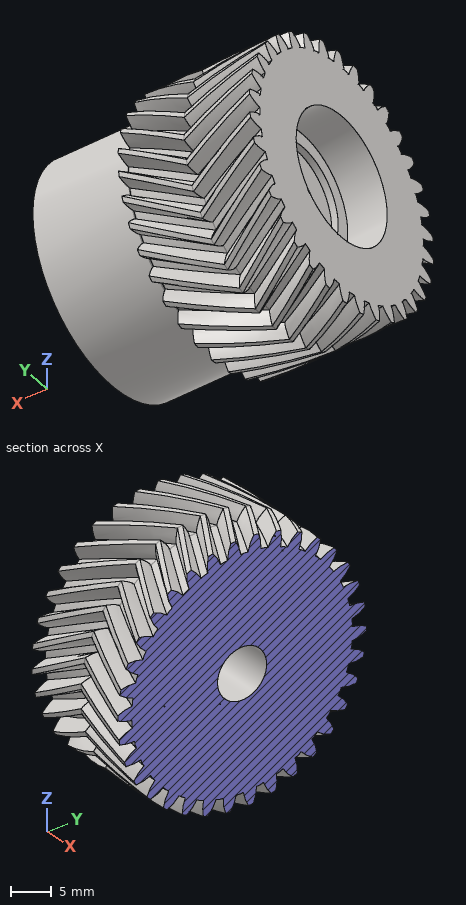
import cadquery as cq
import math

tooth_count = 34
tip_radius = 19.24
transverse_module = 2 * tip_radius / (tooth_count + 2)
pitch_radius = tooth_count * transverse_module / 2
pressure_angle = math.radians(20)
base_radius = pitch_radius * math.cos(pressure_angle)
root_radius = 17.1
helix_angle = math.radians(30)
first_tooth_angle = 3.37

gear_width = 20.0
half_width = gear_width / 2
total_length = 35.0

hub_radius = 33.0 / 2
hub_fillet = 0.5

bearing_radius = 19.0 / 2
bearing_depth = 6.0
relief_radius = 15.0 / 2
relief_depth = 1.0
bore_radius = 7.5 / 2

flank_samples = 5

tooth_pitch = 360 / tooth_count
twist = math.degrees(half_width * math.tan(helix_angle) / pitch_radius)


def involute(angle):
    return math.tan(angle) - angle


def half_tooth_angle(radius):
    """Half the angular thickness of a tooth at a radius, in degrees."""
    pitch_half_angle = math.pi / (2 * tooth_count)
    local_pressure_angle = math.acos(base_radius / radius)
    return math.degrees(pitch_half_angle + involute(pressure_angle) - involute(local_pressure_angle))


def polar_point(radius, degrees):
    angle = math.radians(degrees)
    return (radius * math.cos(angle), radius * math.sin(angle))


def flank_points(center, side):
    """Points of one involute flank from root to tip; side is -1 or +1."""
    points = []
    for i in range(flank_samples):
        radius = root_radius + (tip_radius - root_radius) * i / (flank_samples - 1)
        points.append(polar_point(radius, center + side * half_tooth_angle(radius)))
    return points


def gear_outline():
    first_points = flank_points(first_tooth_angle, -1)
    outline = cq.Workplane("YZ").moveTo(*first_points[0])
    for tooth in range(tooth_count):
        center = first_tooth_angle + tooth * tooth_pitch
        rising = flank_points(center, -1)
        falling = flank_points(center, 1)[::-1]
        next_root = flank_points(center + tooth_pitch, -1)[0]
        outline = outline.spline(rising[1:], includeCurrent=True)
        outline = outline.threePointArc(polar_point(tip_radius, center), falling[0])
        outline = outline.spline(falling[1:], includeCurrent=True)
        outline = outline.threePointArc(polar_point(root_radius, center + tooth_pitch / 2), next_root)
    return outline.close()


def herringbone_gear():
    """Two mirrored helical halves, joined by sewing their outer faces at mid width."""
    front_half = gear_outline().twistExtrude(half_width, -twist)
    back_half = front_half.mirror("YZ", (half_width, 0, 0))
    outer_faces = front_half.faces("not >X").vals() + back_half.faces("not <X").vals()
    return cq.Workplane(cq.Solid.makeSolid(cq.Shell.makeShell(outer_faces)))


def hub():
    """Plain hub with a concave fillet where it meets the gear."""
    fillet_middle = hub_fillet * (1 - math.sqrt(0.5))
    return (
        cq.Workplane("XY")
        .moveTo(gear_width, 0)
        .lineTo(gear_width, hub_radius + hub_fillet)
        .threePointArc(
            (gear_width + fillet_middle, hub_radius + fillet_middle),
            (gear_width + hub_fillet, hub_radius),
        )
        .lineTo(total_length, hub_radius)
        .lineTo(total_length, 0)
        .close()
        .revolve(360, (0, 0, 0), (1, 0, 0))
    )


def bore():
    """Through bore with a bearing seat and a shallow relief behind it."""
    seat = cq.Workplane("YZ").circle(bearing_radius).extrude(bearing_depth)
    relief = cq.Workplane("YZ").circle(relief_radius).extrude(bearing_depth + relief_depth)
    through = cq.Workplane("YZ").circle(bore_radius).extrude(total_length)
    return seat.union(relief).union(through)


result = herringbone_gear().union(hub()).cut(bore())